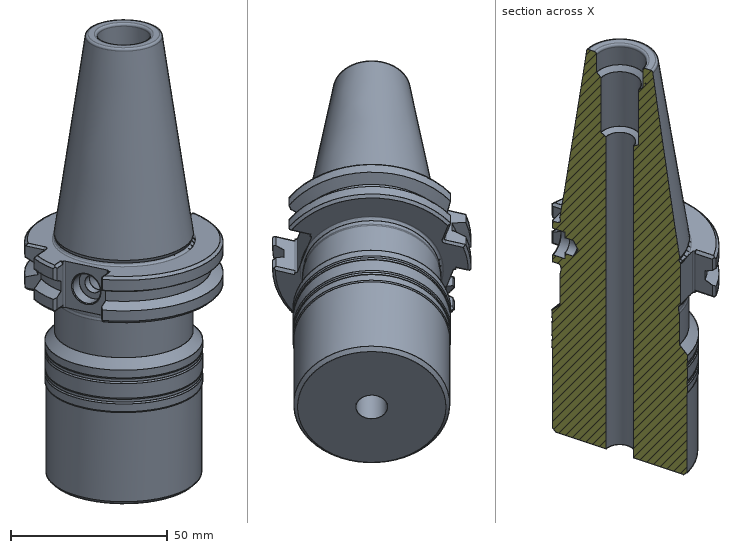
import cadquery as cq
import math

TOTAL_LENGTH = 153.2
EDGE_CHAMFER = 0.9

GAUGE_DIAMETER = 44.5
GAUGE_Z = 84.9
TAPER_RATIO = 7 / 24
TAPER_BASE_Z = 84.0
TAPER_TIP_ROUND = 0.9

FLANGE_DIAMETER = 63.6
FLANGE_BOTTOM_Z = 65.9
FLANGE_TOP_Z = 82.0
GROOVE_DIAMETER = 56.2
GROOVE_CENTER_Z = 73.9
GROOVE_FLOOR_WIDTH = 3.4
GROOVE_MOUTH_WIDTH = 6.9

NECK_DIAMETER = 44.5
UNDERCUT_DIAMETER = 44.0
UNDERCUT_ROUND = 0.9
UNDERCUT_RUN = 0.9
LOWER_UNDERCUT_START_Z = 62.4

COLLAR_DIAMETER = 50.5
BODY_DIAMETER = 50.0
COLLAR_TOP_Z = 47.0
COLLAR_BOTTOM_Z = 32.6
COLLAR_STEP_HEIGHT = 0.5
RING_GROOVE_CENTERS_Z = (36.3, 43.4)
RING_GROOVE_MOUTH_WIDTH = 2.0
RING_GROOVE_FLOOR_WIDTH = 0.9
BODY_END_CHAMFER = 1.2

SLOT_WIDTH = 16.2
FRONT_SLOT_FLOOR = 25.0
REAR_SLOT_FLOOR = 22.5
CORNER_RADIUS = 0.6
NOTCH_WALL = 18.5
NOTCH_CHAMFER = 0.8

POCKET_DIAMETER = 10.1
POCKET_DEPTH = 4.6
POCKET_CHAMFER = 0.3
PILOT_DIAMETER = 6.0
PILOT_DEPTH = 3.0
DRILL_POINT_ANGLE = 118.0

THROUGH_DIAMETER = 10.1
THREAD_HOLE_DIAMETER = 13.8
THREAD_HOLE_DEPTH = 30.6
MOUTH_DIAMETER = 17.0
MOUTH_DEPTH = 7.8
MOUTH_ROUND = 0.9

FLANGE_RADIUS = FLANGE_DIAMETER / 2
UNDERCUT_RADIUS = UNDERCUT_DIAMETER / 2
FLANGE_THICKNESS = FLANGE_TOP_Z - FLANGE_BOTTOM_Z


def drill_point_height(radius):
    return radius / math.tan(math.radians(DRILL_POINT_ANGLE / 2))


def revolve_profile(points):
    """Turn (radius, z) points about the Z axis."""
    return revolve_outline(cq.Workplane("XZ").polyline(points).close())


def revolve_outline(outline):
    return outline.revolve(360, (0, 0, 0), (0, 1, 0))


def groove_points(center_z, outer_radius, floor_radius, mouth_width, floor_width):
    """Groove outline from bottom to top, with sloped sides and a flat floor."""
    return [
        (outer_radius, center_z - mouth_width / 2),
        (floor_radius, center_z - floor_width / 2),
        (floor_radius, center_z + floor_width / 2),
        (outer_radius, center_z + mouth_width / 2),
    ]


def lower_outline():
    """Points of the chuck body and lower neck, from the axis up to the flange fillet."""
    body_radius = BODY_DIAMETER / 2
    collar_radius = COLLAR_DIAMETER / 2
    neck_radius = NECK_DIAMETER / 2
    points = [
        (0, 0),
        (body_radius - BODY_END_CHAMFER, 0),
        (body_radius, BODY_END_CHAMFER),
        (body_radius, COLLAR_BOTTOM_Z - COLLAR_STEP_HEIGHT),
        (collar_radius, COLLAR_BOTTOM_Z),
    ]
    for center_z in RING_GROOVE_CENTERS_Z:
        points += groove_points(
            center_z, collar_radius, body_radius, RING_GROOVE_MOUTH_WIDTH, RING_GROOVE_FLOOR_WIDTH
        )
    points += [
        (collar_radius, COLLAR_TOP_Z),
        (neck_radius, COLLAR_TOP_Z + collar_radius - neck_radius),
        (neck_radius, LOWER_UNDERCUT_START_Z),
        (UNDERCUT_RADIUS, LOWER_UNDERCUT_START_Z + UNDERCUT_RUN),
        (UNDERCUT_RADIUS, FLANGE_BOTTOM_Z - UNDERCUT_ROUND),
    ]
    return points


def flange_outline():
    """Points of the flange rim with its V-groove, from the lower to the upper edge chamfer."""
    groove = groove_points(
        GROOVE_CENTER_Z, FLANGE_RADIUS, GROOVE_DIAMETER / 2, GROOVE_MOUTH_WIDTH, GROOVE_FLOOR_WIDTH
    )
    return [
        (FLANGE_RADIUS - EDGE_CHAMFER, FLANGE_BOTTOM_Z),
        (FLANGE_RADIUS, FLANGE_BOTTOM_Z + EDGE_CHAMFER),
        *groove,
        (FLANGE_RADIUS, FLANGE_TOP_Z - EDGE_CHAMFER),
        (FLANGE_RADIUS - EDGE_CHAMFER, FLANGE_TOP_Z),
    ]


def taper_radius(z):
    return GAUGE_DIAMETER / 2 - (z - GAUGE_Z) * TAPER_RATIO / 2


def make_turned_body():
    fillet_radius = UNDERCUT_RADIUS + UNDERCUT_ROUND

    outline = (
        cq.Workplane("XZ")
        .polyline(lower_outline())
        .radiusArc((fillet_radius, FLANGE_BOTTOM_Z), UNDERCUT_ROUND)
        .polyline(flange_outline(), includeCurrent=True)
        .lineTo(fillet_radius, FLANGE_TOP_Z)
        .radiusArc((UNDERCUT_RADIUS, FLANGE_TOP_Z + UNDERCUT_ROUND), UNDERCUT_ROUND)
        .lineTo(taper_radius(TAPER_BASE_Z), TAPER_BASE_Z)
        .lineTo(taper_radius(TOTAL_LENGTH), TOTAL_LENGTH)
        .lineTo(0, TOTAL_LENGTH)
        .close()
    )
    return revolve_outline(outline).faces(">Z").edges().fillet(TAPER_TIP_ROUND)


def make_bore():
    through_radius = THROUGH_DIAMETER / 2
    thread_radius = THREAD_HOLE_DIAMETER / 2
    mouth_radius = MOUTH_DIAMETER / 2
    thread_end_z = TOTAL_LENGTH - THREAD_HOLE_DEPTH
    mouth_end_z = TOTAL_LENGTH - MOUTH_DEPTH
    outline = (
        cq.Workplane("XZ")
        .polyline([
            (0, 0),
            (through_radius, 0),
            (through_radius, thread_end_z - drill_point_height(thread_radius - through_radius)),
            (thread_radius, thread_end_z),
            (thread_radius, mouth_end_z - (mouth_radius - thread_radius)),
            (mouth_radius, mouth_end_z),
            (mouth_radius, TOTAL_LENGTH - MOUTH_ROUND),
        ])
        .radiusArc((mouth_radius + MOUTH_ROUND, TOTAL_LENGTH), MOUTH_ROUND)
        .lineTo(0, TOTAL_LENGTH)
        .close()
    )
    return revolve_outline(outline)


def make_slot(floor_distance):
    """Cutter for a drive slot on the -Y side, with all its wall edges chamfered."""
    half_width = SLOT_WIDTH / 2
    flared_half = half_width + EDGE_CHAMFER
    slot_depth = FLANGE_RADIUS - floor_distance

    channel = (
        cq.Workplane("XY", origin=(0, -FLANGE_RADIUS, FLANGE_BOTTOM_Z))
        .rect(SLOT_WIDTH, 2 * slot_depth)
        .extrude(FLANGE_THICKNESS)
        .edges("|Z and >Y")
        .fillet(CORNER_RADIUS)
    )
    end_chamfers = cq.Workplane("XZ", origin=(0, -floor_distance - CORNER_RADIUS, 0))
    for end_z, inward in ((FLANGE_BOTTOM_Z, 1), (FLANGE_TOP_Z, -1)):
        end_chamfers = end_chamfers.polyline([
            (-flared_half, end_z),
            (flared_half, end_z),
            (half_width, end_z + inward * EDGE_CHAMFER),
            (-half_width, end_z + inward * EDGE_CHAMFER),
        ]).close()
    end_chamfers = end_chamfers.extrude(slot_depth)

    rim_y = -math.sqrt(FLANGE_RADIUS**2 - flared_half**2)
    mouth_chamfers = (
        cq.Workplane("XY", origin=(0, 0, FLANGE_BOTTOM_Z))
        .polyline([
            (-half_width, rim_y + EDGE_CHAMFER),
            (half_width, rim_y + EDGE_CHAMFER),
            (flared_half, rim_y),
            (flared_half, -FLANGE_RADIUS),
            (-flared_half, -FLANGE_RADIUS),
            (-flared_half, rim_y),
        ])
        .close()
        .extrude(FLANGE_THICKNESS)
    )
    return channel.union(end_chamfers).union(mouth_chamfers)


def rounded_square(size, corner_radius):
    return cq.Sketch().rect(size, size).vertices().fillet(corner_radius)


def make_notch():
    """Cutter for the square notch at the -X -Y side, chamfered at both flange faces."""
    notch_size = FLANGE_RADIUS
    notch_center = -NOTCH_WALL - notch_size / 2
    notch = (
        cq.Workplane("XY", origin=(notch_center, notch_center, FLANGE_BOTTOM_Z))
        .placeSketch(rounded_square(notch_size, CORNER_RADIUS))
        .extrude(FLANGE_THICKNESS)
    )
    flared_square = rounded_square(notch_size + 2 * NOTCH_CHAMFER, CORNER_RADIUS + NOTCH_CHAMFER)
    for end_z, inward in ((FLANGE_BOTTOM_Z, 1), (FLANGE_TOP_Z, -1)):
        flare = (
            cq.Workplane("XY", origin=(notch_center, notch_center, end_z))
            .placeSketch(flared_square)
            .extrude(inward * NOTCH_CHAMFER, taper=45)
        )
        notch = notch.union(flare)
    return notch


def make_slot_hole():
    """Cutter for the stepped blind hole in the front slot, ending in a drill point."""
    pocket_radius = POCKET_DIAMETER / 2
    pilot_radius = PILOT_DIAMETER / 2
    pilot_end = POCKET_DEPTH + PILOT_DEPTH
    hole = revolve_profile([
        (0, 0),
        (pocket_radius + POCKET_CHAMFER, 0),
        (pocket_radius, POCKET_CHAMFER),
        (pocket_radius, POCKET_DEPTH),
        (pilot_radius, POCKET_DEPTH),
        (pilot_radius, pilot_end),
        (0, pilot_end + drill_point_height(pilot_radius)),
    ])
    hole = hole.rotate((0, 0, 0), (1, 0, 0), -90)
    return hole.translate((0, -FRONT_SLOT_FLOOR, GROOVE_CENTER_Z))


front_slot = make_slot(FRONT_SLOT_FLOOR)
rear_slot = make_slot(REAR_SLOT_FLOOR).rotate((0, 0, 0), (0, 0, 1), 180)

result = make_turned_body()
for cutter in (make_bore(), front_slot, rear_slot, make_notch(), make_slot_hole()):
    result = result.cut(cutter)